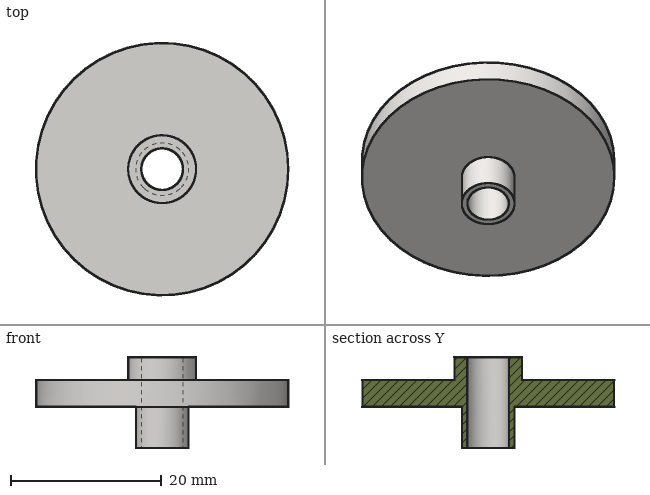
import cadquery as cq

disc_diameter = 33.5
disc_thickness = 3.6
boss_diameter = 9.0
boss_height = 3.0
stem_diameter = 7.0
stem_length = 5.5
bore_diameter = 5.5

disc_top = disc_thickness
total_height = stem_length + disc_thickness + boss_height


def cylinder(diameter, height, base_z):
    """Upright cylinder on the Z axis, starting at base_z."""
    return cq.Workplane("XY").workplane(offset=base_z).circle(diameter / 2).extrude(height)


disc = cylinder(disc_diameter, disc_thickness, 0)
boss = cylinder(boss_diameter, boss_height, disc_top)
stem = cylinder(stem_diameter, stem_length, -stem_length)

bore = cylinder(bore_diameter, total_height, -stem_length)

result = disc.union(boss).union(stem).cut(bore)